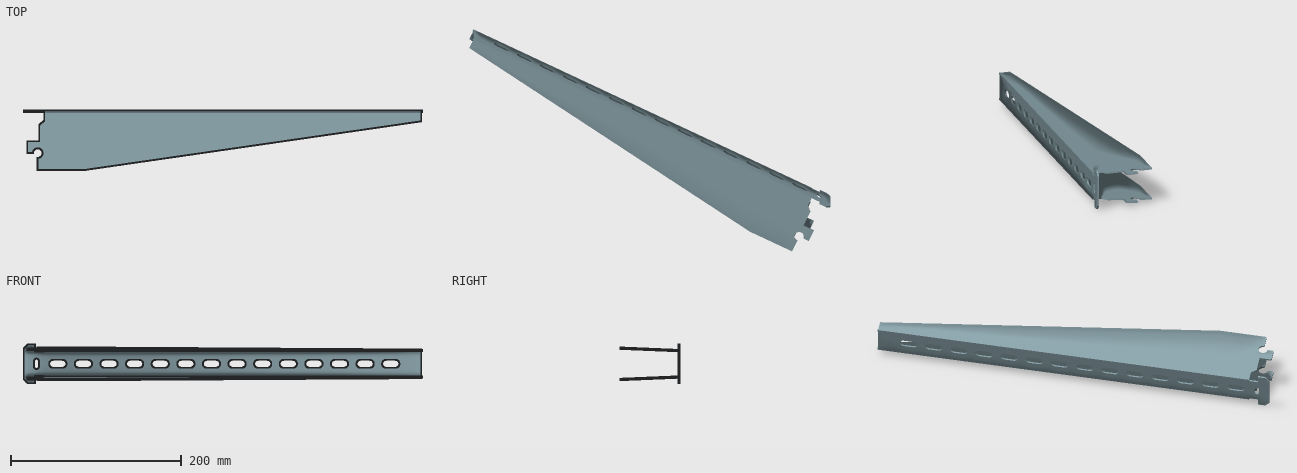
import cadquery as cq
import math

length = 467.0
overall_depth = 69.94
sheet = 2.0
flange_splay = math.radians(2.4)

corner_outer_z = 16.5
corner_inner_z = corner_outer_z - sheet
end_setback = 1.0
trimmed_length = length - end_setback

head_half_height = 23.0
head_length = 13.5
head_chamfer = 5.0

flange_start = 24.0
relief_depth = 12.0
step_x = 18.0
step_depth = 17.0
hook_tip_x = 4.0
hook_top_depth = 36.0
hook_bottom_depth = 50.0
heel_x = 16.0
notch_x = 16.5
notch_depth = 50.0
notch_radius = 5.5
taper_start_x = 71.0
tip_depth = 12.8

slot_count = 14
slot_pitch = 30.0
slot_length = 20.0
slot_height = 9.0
first_slot_x = 40.0
head_slot_x = 15.0
head_slot_height = 12.0
head_slot_width = 5.5


def make_web():
    """Flat back plate: chamfered head, then the long strip between the corners."""
    half_outline = [
        (0, 0),
        (0, head_half_height - head_chamfer),
        (head_chamfer, head_half_height),
        (head_length, head_half_height),
        (head_length, corner_inner_z),
        (trimmed_length, corner_inner_z),
        (trimmed_length, 0),
    ]
    half = cq.Workplane("XZ").polyline(half_outline).close().extrude(sheet)
    return half.union(half.mirror("XY"))


def make_upper_corner():
    """Full-length strip between the web and the upper flange, ending square to the flange."""
    section = [
        (0, corner_inner_z),
        (0, corner_outer_z),
        (sheet * math.sin(flange_splay) - sheet, corner_inner_z + sheet * math.cos(flange_splay)),
        (-sheet, corner_inner_z),
    ]
    strip = cq.Workplane("YZ", origin=(flange_start, 0, 0)).polyline(section).close()
    return strip.extrude(length - flange_start)


def make_upper_flange():
    """Tapered side plate with the wall hook, leaning outward from the corner strip."""
    plane = cq.Plane(
        origin=(0, -sheet, corner_inner_z),
        xDir=(1, 0, 0),
        normal=(0, math.sin(flange_splay), math.cos(flange_splay)),
    )

    def at(x, depth):
        """Point in the flange plane at a given depth behind the back of the web."""
        return (x, (sheet - depth) / math.cos(flange_splay))

    outline = [
        (flange_start, 0),
        at(flange_start, relief_depth),
        at(step_x, step_depth),
        at(step_x, hook_top_depth),
        at(hook_tip_x, hook_top_depth),
        at(hook_tip_x, hook_bottom_depth),
        at(heel_x, hook_bottom_depth),
        at(heel_x, overall_depth),
        at(taper_start_x, overall_depth),
        at(trimmed_length, tip_depth),
        (trimmed_length, 0),
    ]
    plate = cq.Workplane(plane).polyline(outline).close().extrude(sheet)
    notch = cq.Workplane(plane).center(*at(notch_x, notch_depth)).circle(notch_radius).extrude(sheet)
    return plate.cut(notch)


def make_slots():
    """Row of long slots plus one upright slot behind the head."""
    row_centres = [(first_slot_x + i * slot_pitch, 0) for i in range(slot_count)]
    row = cq.Workplane("XZ").pushPoints(row_centres).slot2D(slot_length, slot_height).extrude(sheet)
    upright = (
        cq.Workplane("XZ")
        .center(head_slot_x, 0)
        .slot2D(head_slot_height, head_slot_width, 90)
        .extrude(sheet)
    )
    return row.union(upright)


upper_side = make_upper_corner().union(make_upper_flange())
lower_side = upper_side.mirror("XY")
result = make_web().union(upper_side).union(lower_side).cut(make_slots())